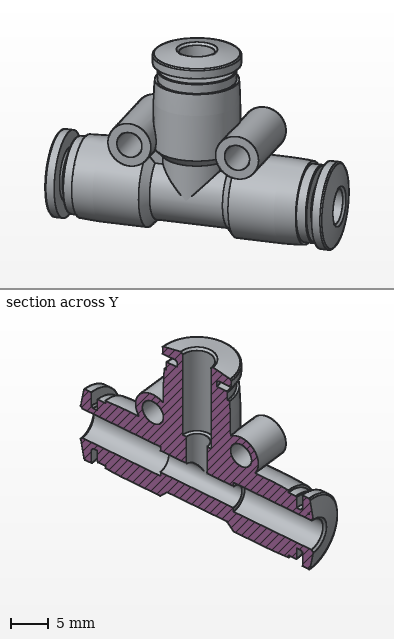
import cadquery as cq

arm_length = 39.7 / 2

flange_diameter = 11.8
flange_face_depth = 0.55
flange_back_depth = 1.9
flange_edge_chamfer = 0.2
stem_diameter = 6.75
stem_flare = 0.28

collar_diameter = 10.5
collar_depth = 2.85
collar_rim_chamfer = 0.1
crown_start_depth = 4.25
crown_start_diameter = 11.2
crown_end_depth = 7.23
body_diameter = 11.5
body_end_depth = 13.6
core_diameter = 9.2

passage_diameter = 3.5
tube_socket_diameter = 4.75
mouth_diameter = 5.45

lug_diameter = 6.0
lug_hole_diameter = passage_diameter
lug_length = body_diameter
lug_offset = 7.5
web_thickness = 4.7

tip_radius = mouth_diameter / 2
flange_radius = flange_diameter / 2
stem_radius = stem_diameter / 2
collar_radius = collar_diameter / 2
crown_radius = crown_start_diameter / 2
body_radius = body_diameter / 2
core_radius = core_diameter / 2
shoulder_height = body_radius - core_radius
body_end = arm_length - body_end_depth
socket_radius = tube_socket_diameter / 2


def revolve_upright(profile):
    """Turn a closed (radius, height) profile about the Z axis."""
    return profile.close().revolve(360, (0, 0, 0), (0, 1, 0))


def upright_arm():
    """Solid arm along +Z, from the junction out to its tip."""
    profile = (
        cq.Workplane("XZ")
        .lineTo(core_radius, 0)
        .lineTo(core_radius, body_end - shoulder_height)
        .lineTo(body_radius, body_end)
        .lineTo(body_radius, arm_length - crown_end_depth)
        .tangentArcPoint((crown_radius, arm_length - crown_start_depth), relative=False)
        .lineTo(collar_radius, arm_length - crown_start_depth)
        .lineTo(collar_radius, arm_length - collar_depth - collar_rim_chamfer)
        .lineTo(collar_radius - collar_rim_chamfer, arm_length - collar_depth)
        .lineTo(stem_radius, arm_length - collar_depth)
        .lineTo(stem_radius, arm_length - flange_back_depth - stem_flare)
        .lineTo(stem_radius + stem_flare, arm_length - flange_back_depth)
        .lineTo(flange_radius, arm_length - flange_back_depth)
        .lineTo(flange_radius, arm_length - flange_face_depth - flange_edge_chamfer)
        .lineTo(flange_radius - flange_edge_chamfer, arm_length - flange_face_depth)
        .lineTo(tip_radius, arm_length)
        .lineTo(0, arm_length)
    )
    return revolve_upright(profile)


def upright_bore():
    """Cutter for a passage along +Z with a tube socket and a chamfered mouth."""
    passage_radius = passage_diameter / 2
    mouth_chamfer = tip_radius - socket_radius
    profile = (
        cq.Workplane("XZ")
        .lineTo(passage_radius, 0)
        .lineTo(passage_radius, body_end)
        .lineTo(socket_radius, body_end)
        .lineTo(socket_radius, arm_length - mouth_chamfer)
        .lineTo(tip_radius, arm_length)
        .lineTo(0, arm_length)
    )
    return revolve_upright(profile)


def lug_cylinder(side, diameter):
    """Cylinder along Y on the lug axis; side is -1 or 1."""
    return (
        cq.Workplane("XZ", origin=(0, lug_length / 2, 0))
        .center(side * lug_offset, lug_offset)
        .circle(diameter / 2)
        .extrude(lug_length)
    )


def web(side):
    """Square plate filling the corner between two arms, up to the lug axis."""
    return (
        cq.Workplane("XZ")
        .center(side * lug_offset / 2, lug_offset / 2)
        .rect(lug_offset, lug_offset)
        .extrude(web_thickness / 2, both=True)
    )


arm_tilts = (-90, 0, 90)
lug_sides = (-1, 1)
tilt_axis = ((0, 0, 0), (0, 1, 0))

body = cq.Workplane()
for tilt in arm_tilts:
    body = body.add(upright_arm().rotate(*tilt_axis, tilt))
for side in lug_sides:
    body = body.add(web(side)).add(lug_cylinder(side, lug_diameter))
result = body.combine()

for tilt in arm_tilts:
    result = result.cut(upright_bore().rotate(*tilt_axis, tilt))
for side in lug_sides:
    result = result.cut(lug_cylinder(side, lug_hole_diameter))